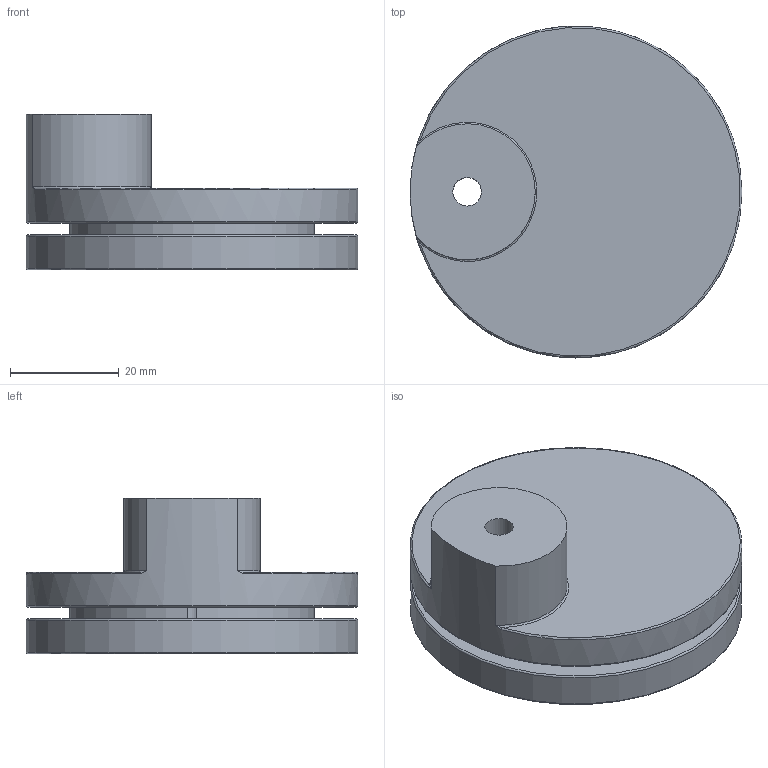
import cadquery as cq

disc_diameter = 61.0
disc_thickness = 6.4
groove_width = 2.2
neck_diameter = 45.0
total_height = 28.6
boss_diameter = 25.0
boss_offset = 20.0
bore_diameter = 5.25
edge_radius = 0.3

groove_top = disc_thickness + groove_width
wheel_top = groove_top + disc_thickness


def cylinder(diameter, bottom, top, center_x=0.0):
    """Upright cylinder between two heights, centred on the X axis line."""
    return (
        cq.Workplane("XY", origin=(center_x, 0, bottom))
        .circle(diameter / 2)
        .extrude(top - bottom)
    )


def lower_disc():
    """Lower flange with both rims rounded."""
    return cylinder(disc_diameter, 0, disc_thickness).edges().fillet(edge_radius)


def crank_boss():
    """Off-centre boss cut flush with the outside of the disc."""
    boss = cylinder(boss_diameter, groove_top, total_height, -boss_offset)
    return boss.intersect(cylinder(disc_diameter, groove_top, total_height))


def upper_disc():
    """Upper flange joined to its boss, with rounded rims and boss root."""
    body = cylinder(disc_diameter, groove_top, wheel_top).union(crank_boss())
    shoulder = body.faces(cq.selectors.NearestToPointSelector((boss_offset, 0, wheel_top)))
    body = shoulder.edges().fillet(edge_radius)
    return body.faces("<Z").edges().fillet(edge_radius)


neck = cylinder(neck_diameter, disc_thickness, groove_top)
bore = cylinder(bore_diameter, 0, total_height, -boss_offset)
result = lower_disc().union(neck).union(upper_disc()).cut(bore)